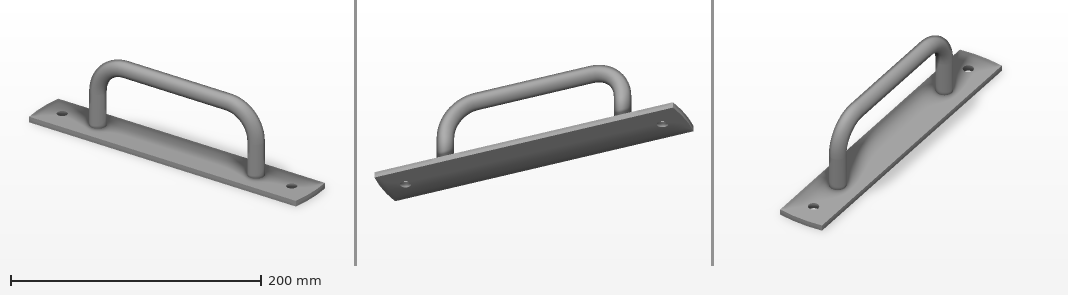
import cadquery as cq

plate_length = 264.5
plate_width = 40.0
plate_thickness = 5.0
end_bow = 1.5

hole_spacing = 225.0
hole_diameter = 9.0

overall_height = 69.0
bar_diameter = 14.0
leg_spacing = 155.0
bend_radius = 27.0

half_length = plate_length / 2
half_width = plate_width / 2
corner_x = half_length - end_bow
half_leg_spacing = leg_spacing / 2
grip_z = overall_height - bar_diameter / 2


def make_plate():
    """Plate resting on Z = 0, with both ends bowed outward and two screw holes."""
    blank = (
        cq.Workplane("XY")
        .moveTo(-corner_x, -half_width)
        .lineTo(corner_x, -half_width)
        .threePointArc((half_length, 0), (corner_x, half_width))
        .lineTo(-corner_x, half_width)
        .threePointArc((-half_length, 0), (-corner_x, -half_width))
        .close()
        .extrude(plate_thickness)
    )
    return (
        blank.faces(">Z")
        .workplane(origin=(0, 0, plate_thickness))
        .pushPoints([(-hole_spacing / 2, 0), (hole_spacing / 2, 0)])
        .hole(hole_diameter)
    )


def make_handle():
    """Round bar rising from the plate, bent over and returning to the plate."""
    path = (
        cq.Workplane("XZ")
        .moveTo(-half_leg_spacing, plate_thickness)
        .lineTo(-half_leg_spacing, grip_z - bend_radius)
        .tangentArcPoint((-half_leg_spacing + bend_radius, grip_z), relative=False)
        .lineTo(half_leg_spacing - bend_radius, grip_z)
        .tangentArcPoint((half_leg_spacing, grip_z - bend_radius), relative=False)
        .lineTo(half_leg_spacing, plate_thickness)
    )
    return (
        cq.Workplane("XY", origin=(-half_leg_spacing, 0, plate_thickness))
        .circle(bar_diameter / 2)
        .sweep(path)
    )


result = make_plate().union(make_handle())